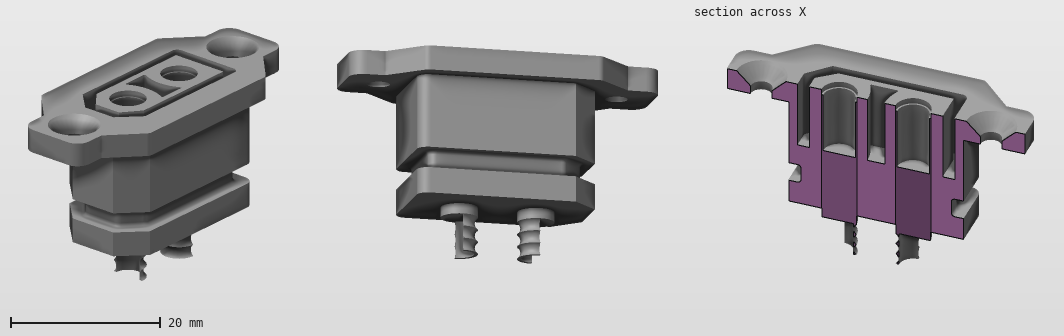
import cadquery as cq
import math


flange_thickness = 3.3
groove_start = 13.3
groove_end = 16.1
housing_length = 19.6
collar_end = 21.0
total_length = 26.0

flange_length = 42.5
flange_width = 19.0
tab_width = 10.05
flange_side_length = 23.95
shoulder_length = 33.4
tab_corner_radius = 2.0
flange_corner_radius = 1.0
screw_spacing = 32.72
screw_hole_diameter = 3.0
countersink_diameter = 7.05
countersink_angle = 90.0

barrel_width = 14.02
barrel_length = 25.0
barrel_chamfer = 3.5
barrel_corner_radius = 1.55
core_width = 10.62
core_length = 21.45
core_chamfer_x = 2.5
core_chamfer_y = 2.85
core_corner_radius = 1.0
groove_root_fillet = 0.5

mating_depth = 10.0
recess_width = 10.9
recess_length = 22.35
recess_chamfer = 2.98
recess_corner_radius = 0.9
island_width = 8.25
island_length = 19.05
island_chamfer_x = 2.1
island_chamfer_y = 2.65

pocket_width = 6.55
pocket_waist = 2.42
pocket_arc_radius = 6.45
pocket_corner_radius = 0.15

contact_spacing = 10.55
contact_diameter = 5.0
contact_bore_diameter = 4.5
contact_setback = 0.85
cup_diameter = 4.0
barb_count = 3
barb_arc_radius = 1.0


def keyed_outline(width, length, chamfer_x, chamfer_y):
    """Centred rectangle with its two -Y corners cut off."""
    x = width / 2
    y = length / 2
    return [
        (-x, y),
        (-x, -y + chamfer_y),
        (-x + chamfer_x, -y),
        (x - chamfer_x, -y),
        (x, -y + chamfer_y),
        (x, y),
    ]


def prism(outline, top, bottom):
    return cq.Workplane("XY").workplane(offset=bottom).polyline(outline).close().extrude(top - bottom)


def make_flange():
    """Octagonal plate crossed by a rounded strip whose ends are the screw tabs."""
    x_side = flange_width / 2
    x_shoulder = tab_width / 2
    y_side = flange_side_length / 2
    y_shoulder = shoulder_length / 2
    plate_outline = [
        (-x_shoulder, y_shoulder),
        (-x_side, y_side),
        (-x_side, -y_side),
        (-x_shoulder, -y_shoulder),
        (x_shoulder, -y_shoulder),
        (x_side, -y_side),
        (x_side, y_side),
        (x_shoulder, y_shoulder),
    ]
    plate = prism(plate_outline, 0, -flange_thickness)
    plate = plate.edges("|Z and (<X or >X)").fillet(flange_corner_radius)
    tabs = (
        cq.Workplane("XY")
        .rect(tab_width, flange_length)
        .extrude(-flange_thickness)
        .edges("|Z")
        .fillet(tab_corner_radius)
    )
    return plate.union(tabs)


def make_barrel(top, bottom):
    outline = keyed_outline(barrel_width, barrel_length, barrel_chamfer, barrel_chamfer)
    return prism(outline, top, bottom).edges("|Z and >Y").fillet(barrel_corner_radius)


def make_groove():
    """Ring of material removed around the barrel, with its root edges rounded."""
    core_outline = keyed_outline(core_width, core_length, core_chamfer_x, core_chamfer_y)
    core = prism(core_outline, -groove_start, -groove_end).edges("|Z").fillet(core_corner_radius)
    ring = make_barrel(-groove_start, -groove_end).cut(core)
    root_edges = []
    for end_face in ring.faces("|Z").vals():
        for wire in end_face.innerWires():
            root_edges.extend(wire.Edges())
    return ring.newObject(root_edges).fillet(groove_root_fillet)


def make_mating_recess():
    """Keyed recess in the front face that leaves a keyed island standing in it."""
    recess_outline = keyed_outline(recess_width, recess_length, recess_chamfer, recess_chamfer)
    island_outline = keyed_outline(island_width, island_length, island_chamfer_x, island_chamfer_y)
    recess = prism(recess_outline, 0, -mating_depth).edges("|Z and >Y").fillet(recess_corner_radius)
    return recess.cut(prism(island_outline, 0, -mating_depth))


def make_waisted_pocket():
    """Pocket with straight ends in X and two sides that bow toward each other."""
    x = pocket_width / 2
    waist_y = pocket_waist / 2
    bow = pocket_arc_radius - math.sqrt(pocket_arc_radius**2 - x**2)
    y = waist_y + bow
    return (
        cq.Workplane("XY")
        .moveTo(-x, y)
        .threePointArc((0, waist_y), (x, y))
        .lineTo(x, -y)
        .threePointArc((0, -waist_y), (-x, -y))
        .close()
        .extrude(-mating_depth)
        .edges("|Z")
        .fillet(pocket_corner_radius)
    )


def make_housing():
    housing = make_flange().union(make_barrel(-flange_thickness, -housing_length))
    housing = housing.cut(make_groove()).cut(make_mating_recess()).cut(make_waisted_pocket())
    housing = (
        housing.faces(">Z")
        .workplane(origin=(0, 0, 0))
        .pushPoints([(0, -screw_spacing / 2), (0, screw_spacing / 2)])
        .cskHole(screw_hole_diameter, countersink_diameter, countersink_angle)
    )
    return (
        housing.faces(">Z")
        .workplane(origin=(0, 0, 0))
        .pushPoints([(0, -contact_spacing / 2), (0, contact_spacing / 2)])
        .hole(contact_diameter)
    )


def make_solder_cup():
    """Half tube on the +Y side whose outside is scalloped into sharp barbs."""
    outer_radius = contact_diameter / 2
    cup_radius = cup_diameter / 2
    barb_pitch = (total_length - collar_end) / barb_count
    scallop_depth = barb_arc_radius - math.sqrt(barb_arc_radius**2 - (barb_pitch / 2) ** 2)
    profile = cq.Workplane("XZ").moveTo(cup_radius, -collar_end).lineTo(outer_radius, -collar_end)
    for barb in range(barb_count):
        scallop_top = -collar_end - barb * barb_pitch
        profile = profile.threePointArc(
            (outer_radius - scallop_depth, scallop_top - barb_pitch / 2),
            (outer_radius, scallop_top - barb_pitch),
        )
    profile = profile.lineTo(cup_radius, -total_length).close()
    return profile.revolve(180, (0, 0, 0), (0, 1, 0))


def make_contact():
    """Socket contact on the Z axis, with its solder cup wall on the +Y side."""
    barrel = (
        cq.Workplane("XY")
        .workplane(offset=-collar_end)
        .circle(contact_diameter / 2)
        .extrude(collar_end - contact_setback)
        .faces(">Z")
        .workplane()
        .hole(contact_bore_diameter, mating_depth - contact_setback)
    )
    return barrel.union(make_solder_cup())


housing = make_housing()
contacts = []
for y_center, turn in [(-contact_spacing / 2, 0), (contact_spacing / 2, 180)]:
    contact = make_contact().rotate((0, 0, 0), (0, 0, 1), turn).translate((0, y_center, 0))
    contacts.append(contact.val())

result = cq.Compound.makeCompound([housing.val(), *contacts])